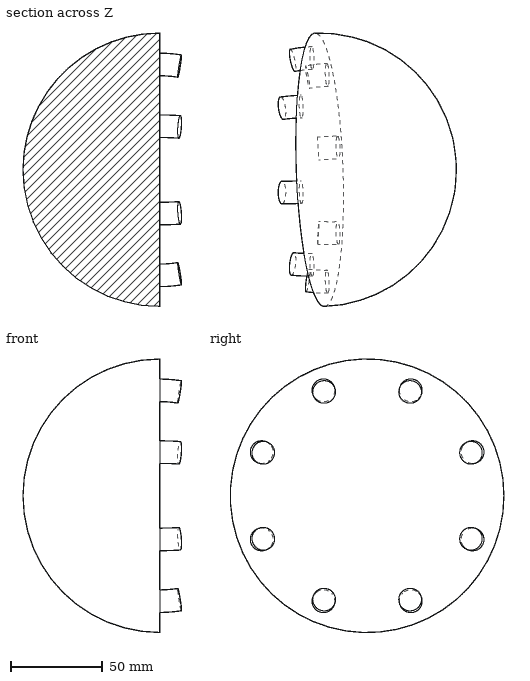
import cadquery as cq
import math

dome_radius = 75.0
peg_diameter = 12.5
peg_ring_radius = 62.5
peg_bend_angle = 10.0
peg_count = 8

peg_pitch = 360.0 / peg_count
first_peg_angle = peg_pitch / 2


def make_dome():
    """Solid half ball with its flat face on the YZ plane and its pole toward -X."""
    arc_middle = dome_radius * math.sqrt(0.5)
    return (
        cq.Workplane("XY")
        .moveTo(0, 0)
        .lineTo(-dome_radius, 0)
        .threePointArc((-arc_middle, arc_middle), (0, dome_radius))
        .close()
        .revolve(360, (0, 0), (1, 0))
    )


def make_peg(angle):
    """Curved round peg leaving the flat face toward +X and bending in toward the X axis.

    The angle is measured about the X axis, starting from +Y.
    """
    peg = (
        cq.Workplane("YZ")
        .center(peg_ring_radius, 0)
        .circle(peg_diameter / 2)
        .revolve(peg_bend_angle, (-peg_ring_radius, 0), (-peg_ring_radius, -1))
    )
    return peg.rotate((0, 0, 0), (1, 0, 0), angle)


result = make_dome()
for index in range(peg_count):
    result = result.union(make_peg(first_peg_angle + index * peg_pitch))